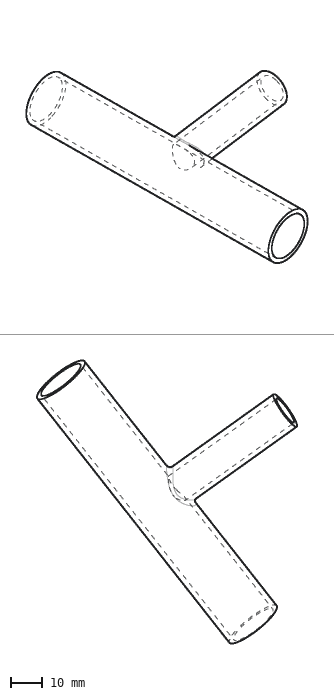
import cadquery as cq

run_length = 101.6
run_outer_diameter = 19.1
run_inner_diameter = 15.7

branch_reach = 50.8
branch_outer_diameter = 12.7
branch_inner_diameter = 9.3

joint_fillet_radius = 1.5


def run_cylinder(diameter):
    """Full-length cylinder on the run axis."""
    return cq.Workplane("YZ").circle(diameter / 2).extrude(run_length / 2, both=True)


def branch_cylinder(diameter):
    """Cylinder from the run axis out to the open end of the branch."""
    return cq.Workplane("XZ").circle(diameter / 2).extrude(-branch_reach)


def joint_edges(body):
    """Edges of the saddle curve where the branch meets the run."""
    margin = 0.1
    half_width = branch_outer_diameter / 2 + margin
    saddle_top = run_outer_diameter / 2 + margin
    corner_low = (-half_width, 0, -half_width)
    corner_high = (half_width, saddle_top, half_width)
    return body.edges(cq.selectors.BoxSelector(corner_low, corner_high, boundingbox=True))


tee = run_cylinder(run_outer_diameter).union(branch_cylinder(branch_outer_diameter))
tee = joint_edges(tee).fillet(joint_fillet_radius)

bores = run_cylinder(run_inner_diameter).union(branch_cylinder(branch_inner_diameter))
result = tee.cut(bores)